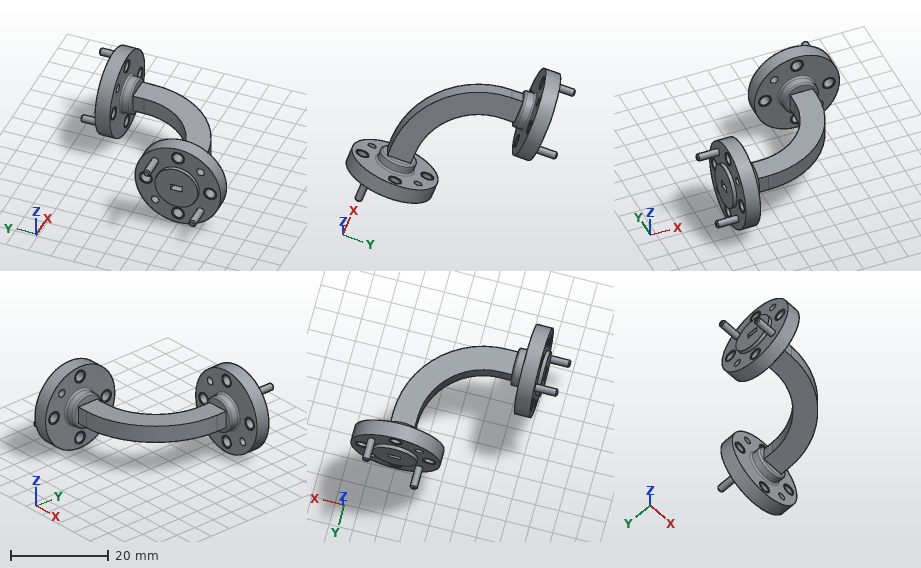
import cadquery as cq
import math

overall_length = 38.9
flange_diameter = 19.05
end_offset = flange_diameter / 2
far_axis = overall_length - end_offset

boss_face = 3.93
flange_front = 4.75
flange_back = 8.05
hub_end = 10.35
bend_start = 12.85

boss_diameter = 9.53
hub_diameter = 7.9
hub_root_fillet = 0.4
hub_end_fillet = 0.4
bolt_circle_radius = 7.15
screw_hole_diameter = 2.25
counterbore_diameter = 2.85
counterbore_depth = 0.1
dowel_hole_diameter = 1.7
pin_diameter = 1.55
pin_tip_chamfer = 0.27
dowel_offset = bolt_circle_radius * math.sqrt(0.5)

tube_width = 5.15
tube_height = 3.8
bore_width = 2.53
bore_height = 1.3
bend_radius = far_axis - bend_start


def cylinder(diameter, start, end):
    """Cylinder on the local Z axis between two distances."""
    return cq.Workplane("XY").workplane(offset=start).circle(diameter / 2).extrude(end - start)


def make_screw_hole():
    """Cutter for a screw hole with a shallow counterbore at both flange faces."""
    hole = cylinder(screw_hole_diameter, flange_front, flange_back)
    front_recess = cylinder(counterbore_diameter, flange_front, flange_front + counterbore_depth)
    back_recess = cylinder(counterbore_diameter, flange_back - counterbore_depth, flange_back)
    return hole.union(front_recess).union(back_recess)


def make_hub():
    """Hub behind the flange, flared at its root and rounded at its end."""
    radius = hub_diameter / 2
    root_arc_middle = hub_root_fillet * (1 - math.sqrt(0.5))
    end_arc_middle = hub_end_fillet * (1 - math.sqrt(0.5))
    profile = (
        cq.Workplane("XZ")
        .moveTo(0, flange_back)
        .lineTo(radius + hub_root_fillet, flange_back)
        .threePointArc(
            (radius + root_arc_middle, flange_back + root_arc_middle),
            (radius, flange_back + hub_root_fillet),
        )
        .lineTo(radius, hub_end - hub_end_fillet)
        .threePointArc(
            (radius - end_arc_middle, hub_end - end_arc_middle),
            (radius - hub_end_fillet, hub_end),
        )
        .lineTo(0, hub_end)
        .close()
    )
    return profile.revolve(360, (0, 0), (0, 1))


def make_flange():
    """Flange along local +Z, with its dowel pin tips on Z = 0."""
    flange = cylinder(flange_diameter, flange_front, flange_back)
    flange = flange.union(cylinder(boss_diameter, boss_face, flange_front)).union(make_hub())

    screw_hole = make_screw_hole().translate((bolt_circle_radius, 0, 0))
    for angle in range(0, 360, 90):
        flange = flange.cut(screw_hole.rotate((0, 0, 0), (0, 0, 1), angle))

    pin = cylinder(pin_diameter, 0, flange_back).faces("<Z").chamfer(pin_tip_chamfer)
    dowel_hole = cylinder(dowel_hole_diameter, flange_front, flange_back)
    for side in (-1, 1):
        flange = flange.union(pin.translate((side * dowel_offset, side * dowel_offset, 0)))
        flange = flange.cut(dowel_hole.translate((side * dowel_offset, -side * dowel_offset, 0)))
    return flange


def bend_sweep(width, height, start):
    """Rectangular bar swept along the bend between the two flange axes."""
    arc_middle = bend_radius * math.sqrt(0.5)
    path = (
        cq.Workplane("XY")
        .moveTo(start, end_offset)
        .lineTo(bend_start, end_offset)
        .threePointArc(
            (bend_start + arc_middle, end_offset + bend_radius - arc_middle),
            (far_axis, end_offset + bend_radius),
        )
        .lineTo(far_axis, overall_length - start)
    )
    section = cq.Workplane("YZ", origin=(start, end_offset, 0)).rect(width, height)
    return section.sweep(path)


first_frame = cq.Plane(origin=(0, end_offset, 0), xDir=(0, 1, 0), normal=(1, 0, 0))
second_frame = cq.Plane(origin=(far_axis, overall_length, 0), xDir=(1, 0, 0), normal=(0, -1, 0))

result = bend_sweep(tube_width, tube_height, flange_back)
flange_solid = make_flange().val()
for frame in (first_frame, second_frame):
    result = result.union(cq.Workplane(flange_solid.moved(cq.Location(frame))))

result = result.cut(bend_sweep(bore_width, bore_height, boss_face))